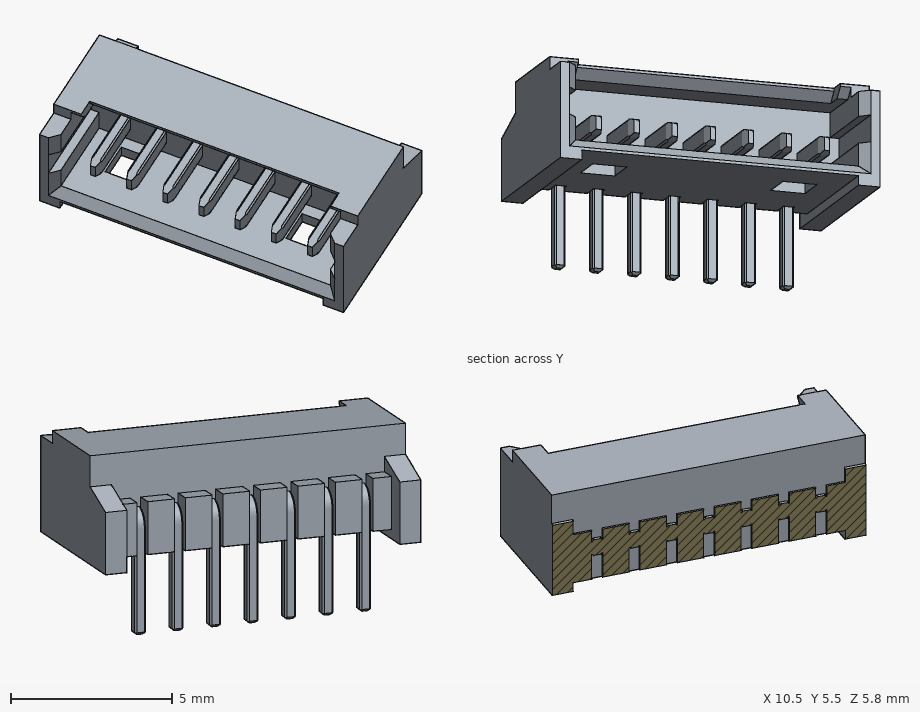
import cadquery as cq


length = 10.5
depth = 5.5
height = 3.5
foot_width = 0.7
foot_height = 0.3
rear_top_depth = 4.2
cheek_rear_height = 2.01
cheek_shoulder_height = 2.5
rear_bar_depth = 4.8

wall_thickness = 0.3
funnel = 0.29
mouth_length = length - 2 * wall_thickness
cavity_length = mouth_length - 2 * funnel
cavity_depth = 2.96
floor_top = 0.69
roof_thickness = 0.41
roof_bottom = height - roof_thickness
groove_bottom = 1.43
groove_top = 2.29

roof_front = 1.0
roof_bevel = 0.32
notch_front = 1.6
notch_length = 8.6

window_length = 1.12
window_front = 1.43
window_depth = 1.13

pin_count = 7
pitch = 1.25
pin_width = 0.36
blade_height = 0.61
blade_bottom = 1.12
blade_top = blade_bottom + blade_height
blade_tip = 0.69
blade_taper = 0.3
leg_back = 4.64
leg_depth = 0.37
leg_front = leg_back - leg_depth
leg_tip = -2.3
leg_taper = 0.08
tip_inset = 0.09
bend_radius = 0.6
pin_chamfer = 0.05
pin_positions = [(i - (pin_count - 1) / 2) * pitch for i in range(pin_count)]


def block(size_x, y_start, y_end, z_start, z_end, x_center=0):
    """Box centred on x_center and bounded in Y and Z."""
    corner = (x_center - size_x / 2, y_start, z_start)
    box = cq.Workplane("XY").box(size_x, y_end - y_start, z_end - z_start, centered=False)
    return box.translate(corner)


def side_extrusion(outline, width):
    """Extrude a closed (Y, Z) outline along X, centred on X = 0."""
    return cq.Workplane("YZ").polyline(outline).close().extrude(width / 2, both=True)


def housing_blank():
    outline = [
        (0, 0),
        (depth, 0),
        (depth, cheek_rear_height),
        (rear_top_depth, cheek_shoulder_height),
        (rear_top_depth, height),
        (roof_front, height),
        (roof_front, roof_bottom),
        (0, roof_bottom),
    ]
    inner_length = length - 2 * foot_width
    blank = side_extrusion(outline, length)
    blank = blank.cut(block(inner_length, 0, depth, 0, foot_height))
    blank = blank.cut(block(inner_length, rear_bar_depth, depth, 0, height))
    return blank.cut(block(inner_length, rear_top_depth, depth, cheek_rear_height, height))


def frustum(plane, center, first_size, second_size, rise):
    """Loft between two rectangles, the second lying a distance rise along the plane normal."""
    first = cq.Workplane(plane).center(*center).rect(*first_size)
    return first.workplane(offset=rise).rect(*second_size).loft(combine=True)


def cavity():
    main = block(cavity_length, 0, cavity_depth, floor_top, roof_bottom)
    key_grooves = block(mouth_length, 0, cavity_depth, groove_bottom, groove_top)
    mouth_center = (0, (floor_top + height) / 2)
    inner_size = (cavity_length, height - floor_top)
    outer_size = tuple(side + 2 * funnel for side in inner_size)
    mouth = frustum("XZ", mouth_center, outer_size, inner_size, -funnel)
    return main.union(key_grooves).union(mouth)


def roof_relief(front, width):
    """Undercut of the roof edge at the given front position, sloping at 45 degrees."""
    outline = [
        (front, roof_bottom),
        (front + roof_bevel, roof_bottom),
        (front, roof_bottom + roof_bevel),
    ]
    return side_extrusion(outline, width)


def floor_window(x_center):
    window_back = window_front + window_depth
    return block(window_length, window_front, window_back, 0, floor_top, x_center)


def pin_bar():
    """Square-ended L-shaped bar with a rounded outer bend and chamfered long edges."""
    bar = (
        cq.Workplane("YZ")
        .moveTo(blade_tip, blade_bottom)
        .lineTo(leg_front, blade_bottom)
        .lineTo(leg_front, leg_tip)
        .lineTo(leg_back, leg_tip)
        .lineTo(leg_back, blade_top - bend_radius)
        .radiusArc((leg_back - bend_radius, blade_top), -bend_radius)
        .lineTo(blade_tip, blade_top)
        .close()
        .extrude(pin_width / 2, both=True)
    )
    return bar.faces("<X or >X").edges().chamfer(pin_chamfer)


def point_size(section):
    """Sides of the blunt tip face of a pin with the given section."""
    return tuple(side - 2 * tip_inset for side in section)


def pin():
    """Bar trimmed at both ends to a blunt four-sided point."""
    blade_size = (pin_width, blade_height)
    blade_center = (0, (blade_bottom + blade_top) / 2)
    blade_nose = frustum("XZ", blade_center, point_size(blade_size), blade_size, -blade_taper)
    blade_nose = blade_nose.translate((0, blade_tip, 0))

    leg_size = (pin_width, leg_depth)
    leg_center = (0, (leg_front + leg_back) / 2)
    leg_nose = frustum("XY", leg_center, point_size(leg_size), leg_size, leg_taper)
    leg_nose = leg_nose.translate((0, 0, leg_tip))

    untrimmed = block(pin_width, blade_tip + blade_taper, leg_back, leg_tip + leg_taper, blade_top)
    return pin_bar().intersect(untrimmed.union(blade_nose).union(leg_nose))


housing = housing_blank().cut(cavity())
housing = housing.cut(block(notch_length, 0, notch_front, roof_bottom, height))
housing = housing.cut(roof_relief(roof_front, cavity_length))
housing = housing.cut(roof_relief(notch_front, notch_length))

for side in (-1, 1):
    window_center = side * (pin_positions[-1] + pin_positions[-2]) / 2
    housing = housing.cut(floor_window(window_center))

for x in pin_positions:
    housing = housing.cut(block(pin_width, rear_top_depth, rear_bar_depth, 0, height, x))

result = housing
bent_pin = pin()
for x in pin_positions:
    result = result.union(bent_pin.translate((x, 0, 0)))